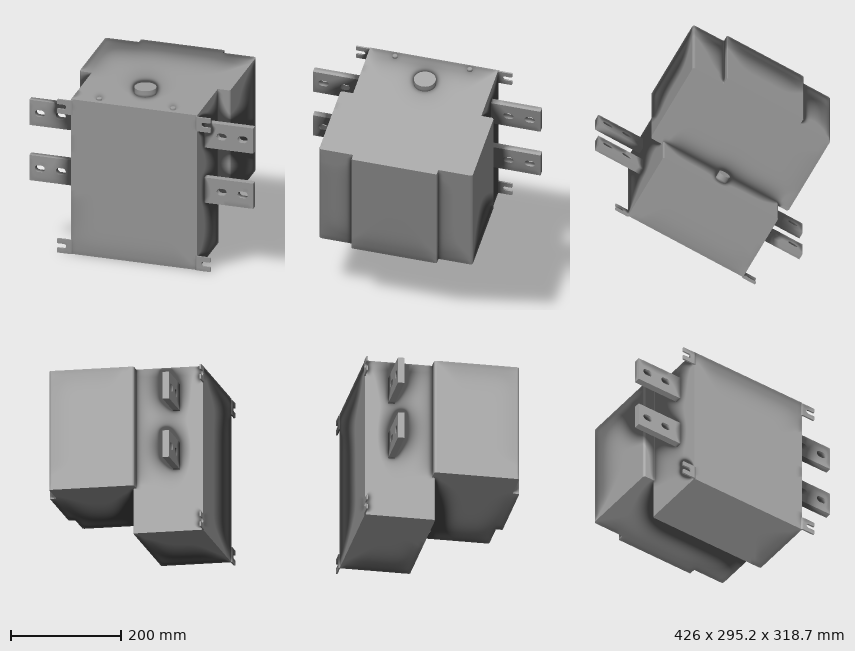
import cadquery as cq

housing_width = 240.0
housing_depth = 130.0
housing_height = 306.7
housing_rear_radius = 3.0

block_width = 287.0
block_front_y = 123.9
block_shoulder_y = 280.9
block_bottom_z = 84.0
block_corner_radius = 4.5
rear_panel_width = 159.4
rear_panel_y = 293.2
rear_panel_radius = 1.5
block_foot_radius = 1.5

bar_tip_x = 425.99 / 2
bar_height = 50.0
bar_thickness = 12.0
bar_front_y = 43.0
bar_center_heights = (140.5, 250.0)
bar_slot_length = 19.0
bar_slot_height = 13.0
bar_slot_tip_offsets = (20.0, 60.0)
bar_embed = 5.0

tab_tip_x = 146.0
tab_height = 28.0
tab_thickness = 3.0
tab_front_y = -2.0
tab_bend_inner_radius = 2.0
tab_bend_outer_radius = 6.5
tab_tip_radius = 1.5
tab_center_heights = (14.0, 290.0)
tab_slot_height = 9.0
tab_slot_end_x = 128.5

knob_diameter = 40.0
knob_height = 12.0
knob_y = 68.0
pin_diameter = 9.8
pin_height = 4.4
pin_chamfer = 1.0
pin_x = 70.0
pin_y = 12.8
rear_boss_diameter = 22.0
rear_boss_length = 13.5
rear_boss_z = 40.6


def make_housing():
    body = cq.Workplane("XY").box(
        housing_width, housing_depth, housing_height, centered=(True, False, False)
    )
    return body.edges("|Z and >Y").fillet(housing_rear_radius)


def fillet_upright_edges(body, width, y, radius):
    """Round the pair of vertical edges at x = +-width / 2 and the given y."""
    margin = 0.5
    for x in (-width / 2, width / 2):
        corner = cq.selectors.BoxSelector(
            (x - margin, y - margin, 0), (x + margin, y + margin, housing_height)
        )
        body = body.edges("|Z").edges(corner).fillet(radius)
    return body


def make_rear_block():
    """Wide block with a narrower raised panel on its rear face."""
    block_height = housing_height - block_bottom_z
    base = cq.Workplane("XY", origin=(0, block_front_y, block_bottom_z))
    block = base.box(
        block_width, block_shoulder_y - block_front_y, block_height, centered=(True, False, False)
    )
    block = block.edges("|Z").fillet(block_corner_radius)
    panel = base.box(
        rear_panel_width, rear_panel_y - block_front_y, block_height, centered=(True, False, False)
    )
    panel = panel.edges("|Z and >Y").fillet(rear_panel_radius)
    block = block.union(panel)
    return fillet_upright_edges(block, rear_panel_width, block_shoulder_y, rear_panel_radius)


def make_terminal_bar(center_z):
    """Terminal bar on the +X side with two horizontal slots."""
    root_x = housing_width / 2 - bar_embed
    bar = cq.Workplane("XY", origin=(root_x, bar_front_y, center_z)).box(
        bar_tip_x - root_x, bar_thickness, bar_height, centered=(False, False, True)
    )
    slots = (
        cq.Workplane("XZ", origin=(0, bar_front_y, center_z))
        .pushPoints([(bar_tip_x - offset, 0) for offset in bar_slot_tip_offsets])
        .slot2D(bar_slot_length, bar_slot_height)
        .extrude(-bar_thickness)
    )
    return bar.cut(slots)


def make_mounting_tab(center_z):
    """Bent sheet tab on the +X side; its bend runs into the housing corner."""
    wall_x = housing_width / 2
    bend_x = wall_x + tab_bend_inner_radius
    back_y = tab_front_y + tab_thickness
    inner_end = (wall_x, back_y + tab_bend_inner_radius)
    outer_end = (bend_x - tab_bend_outer_radius, tab_front_y + tab_bend_outer_radius)
    tab = (
        cq.Workplane("XY", origin=(0, 0, center_z - tab_height / 2))
        .moveTo(tab_tip_x, tab_front_y)
        .lineTo(bend_x, tab_front_y)
        .tangentArcPoint(outer_end, relative=False)
        .lineTo(wall_x, outer_end[1])
        .lineTo(*inner_end)
        .tangentArcPoint((bend_x, back_y), relative=False)
        .lineTo(tab_tip_x, back_y)
        .close()
        .extrude(tab_height)
    )
    open_slot = (
        cq.Workplane("XZ", origin=(tab_tip_x, tab_front_y, center_z))
        .slot2D(2 * (tab_tip_x - tab_slot_end_x), tab_slot_height)
        .extrude(-tab_thickness)
    )
    return tab.cut(open_slot).faces(">X").edges("|Y").fillet(tab_tip_radius)


def make_top_controls():
    top = cq.Workplane("XY", origin=(0, 0, housing_height))
    knob = top.center(0, knob_y).circle(knob_diameter / 2).extrude(knob_height)
    pins = top.pushPoints([(-pin_x, pin_y), (pin_x, pin_y)]).circle(pin_diameter / 2).extrude(pin_height)
    pins = pins.faces(">Z").edges().chamfer(pin_chamfer)
    return knob.union(pins)


def make_rear_boss():
    rear_face = cq.Workplane("XZ", origin=(0, housing_depth, rear_boss_z))
    return rear_face.circle(rear_boss_diameter / 2).extrude(-rear_boss_length)


side_parts = [make_terminal_bar(z) for z in bar_center_heights]
side_parts += [make_mounting_tab(z) for z in tab_center_heights]

result = make_housing().union(make_rear_block())
result = fillet_upright_edges(result, housing_width, block_front_y, block_foot_radius)
for side_part in side_parts:
    result = result.union(side_part).union(side_part.mirror("YZ"))
result = result.union(make_top_controls()).union(make_rear_boss())